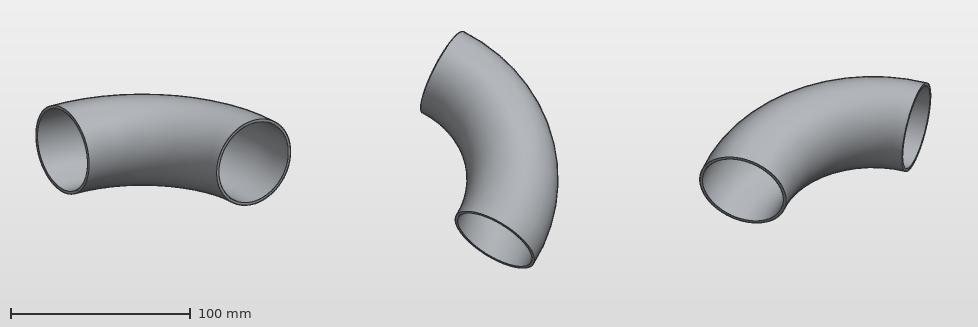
import cadquery as cq

outer_diameter = 50.8
wall = 1.6
bend_radius = 1.5 * outer_diameter
bend_angle = 90.0

outer_radius = outer_diameter / 2
inner_radius = outer_radius - wall

inlet_ring = cq.Workplane("XZ").circle(outer_radius).circle(inner_radius)
bend_axis_start = (bend_radius, 0)
bend_axis_end = (bend_radius, -1)

result = inlet_ring.revolve(bend_angle, bend_axis_start, bend_axis_end)